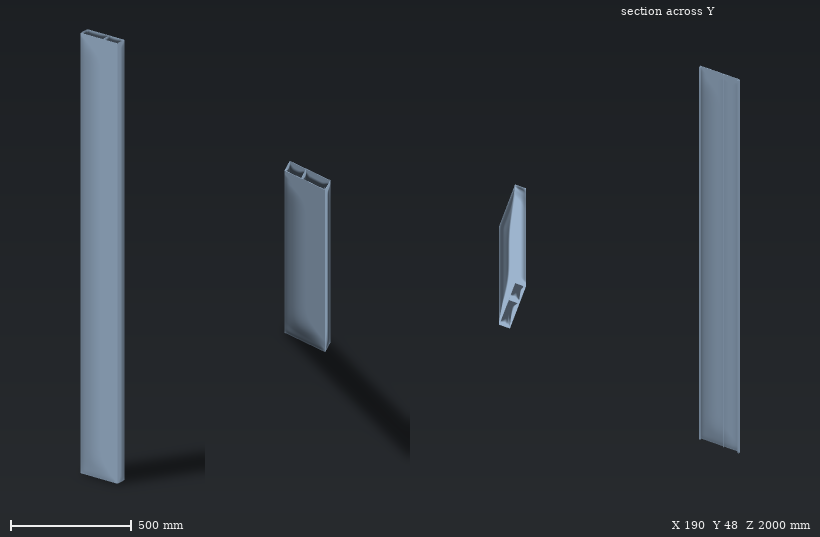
import cadquery as cq

LENGTH = 2000.0
WIDTH = 190.0
DEPTH = 48.0
HALF_WIDTH = WIDTH / 2
FRONT_Y = -DEPTH / 2
BACK_Y = DEPTH / 2

COVER_THICKNESS = 1.5
LIP_THICKNESS = 1.0
LIP_DEPTH = 12.0
COVER_INNER_Y = BACK_Y - COVER_THICKNESS
LIP_END_Y = BACK_Y - LIP_DEPTH

SHEET = 1.0
RIM_GAP = 5.0
RIM_WIDTH = 5.0
RIM_DEPTH = 5.0
RIM_Y = COVER_INNER_Y - RIM_GAP

DIVIDER_FACE_X = 18.5
FOOT_WIDTH = 20.0
FOOT_THICKNESS = 0.5


def bar(x_start, x_end, y_start, y_end):
    """Full-length rectangular bar between the given X and Y limits."""
    return (
        cq.Workplane("XY")
        .box(x_end - x_start, y_end - y_start, LENGTH, centered=False)
        .translate((x_start, y_start, -LENGTH / 2))
    )


def make_cover():
    """Flat cover with a lip along each long edge, flush with the channel sides."""
    lip_inner_x = HALF_WIDTH - LIP_THICKNESS
    blank = bar(-HALF_WIDTH, HALF_WIDTH, LIP_END_Y, BACK_Y)
    return blank.cut(bar(-lip_inner_x, lip_inner_x, LIP_END_Y, COVER_INNER_Y))


def make_side():
    """+X channel wall: it jogs inward behind the cover lip and ends in a folded rim."""
    outer_x = HALF_WIDTH - LIP_THICKNESS
    inner_x = outer_x - SHEET
    rim_x = inner_x - RIM_WIDTH
    lower_wall = bar(HALF_WIDTH - SHEET, HALF_WIDTH, FRONT_Y, LIP_END_Y)
    jog = bar(inner_x, HALF_WIDTH, LIP_END_Y - SHEET, LIP_END_Y)
    upper_wall = bar(inner_x, outer_x, LIP_END_Y - SHEET, RIM_Y)
    rim_flange = bar(rim_x, outer_x, RIM_Y - SHEET, RIM_Y)
    rim_downturn = bar(rim_x, rim_x + SHEET, RIM_Y - RIM_DEPTH, RIM_Y)
    return lower_wall.union(jog).union(upper_wall).union(rim_flange).union(rim_downturn)


def make_divider():
    """Lengthwise divider standing on a flat foot."""
    foot_top_y = FRONT_Y + SHEET + FOOT_THICKNESS
    web = bar(DIVIDER_FACE_X - SHEET, DIVIDER_FACE_X, FRONT_Y, COVER_INNER_Y)
    foot = bar(DIVIDER_FACE_X - FOOT_WIDTH, DIVIDER_FACE_X, FRONT_Y, foot_top_y)
    return web.union(foot)


def make_channel():
    """Channel floor, both side walls and the divider as one body."""
    floor = bar(-HALF_WIDTH, HALF_WIDTH, FRONT_Y, FRONT_Y + SHEET)
    side = make_side()
    return floor.union(side).union(side.mirror("YZ")).union(make_divider())


channel = make_channel()
cover = make_cover()

result = cq.Compound.makeCompound([channel.val(), cover.val()])